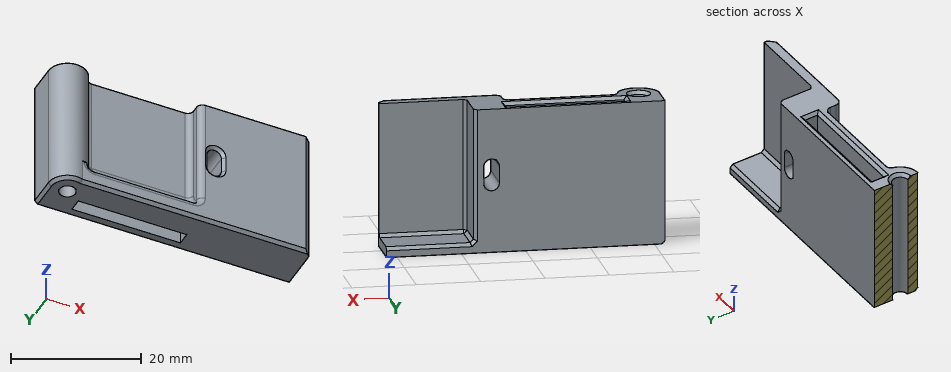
import cadquery as cq
import math

length = 43.25
thickness = 8.0
height = 22.7
break_size = 0.5
blend = 1.0

knuckle_radius = 3.25
bore_radius = 1.35
front_y = 0.17

recess_left = 5.5
recess_right = 24.18
recess_depth = 3.03
recess_floor_y = front_y + recess_depth
recess_rim_z = 2.2
recess_sweep_radius = 2.85
relief_right = 5.7
relief_z = 4.15

slot_left = 5.75
slot_right = 24.18
slot_front = 4.6
slot_back = 6.8

oblong_x = 26.95
oblong_z = 12.3
oblong_width = 2.42
oblong_length = 5.0

notch_x = 29.65
leaf_thickness = 1.6
notch_y = front_y + leaf_thickness
shelf_z = leaf_thickness


def make_plate():
    """Main block with the front corner of its free end chamfered."""
    plate = (
        cq.Workplane("XY")
        .moveTo(knuckle_radius, front_y)
        .lineTo(length - blend, front_y)
        .lineTo(length, front_y + blend)
        .lineTo(length, thickness)
        .lineTo(0, thickness)
        .lineTo(0, knuckle_radius)
        .lineTo(knuckle_radius, knuckle_radius)
        .close()
        .extrude(height)
    )
    return plate


def make_recess_cutter():
    """Scoop whose bottom is an arc tangent to the recess floor."""
    radius_sum = recess_sweep_radius + blend
    center_rise = math.sqrt(radius_sum**2 - (radius_sum - recess_depth) ** 2)
    center_y = recess_floor_y - recess_sweep_radius
    center_z = recess_rim_z + center_rise
    front_angle = math.asin((center_y - front_y) / recess_sweep_radius)

    def arc_point(angle):
        return (
            center_y - recess_sweep_radius * math.sin(angle),
            center_z - recess_sweep_radius * math.cos(angle),
        )

    middle_angle = (front_angle - math.pi / 2) / 2
    cutter = (
        cq.Workplane("YZ", origin=(recess_left, 0, 0))
        .moveTo(front_y, height)
        .lineTo(recess_floor_y, height)
        .lineTo(recess_floor_y, center_z)
        .threePointArc(arc_point(middle_angle), arc_point(front_angle))
        .close()
        .extrude(recess_right - recess_left)
    )
    side_edges = cutter.edges(
        cq.selectors.BoxSelector(
            (0, front_y + break_size, 0), (length, thickness, height - break_size)
        )
    ).edges("not |X")
    return side_edges.fillet(blend)


def cut_recess(body):
    """Cut the scoop and round its rim on the front face."""
    body = body.cut(make_recess_cutter())
    rim = body.faces("<Y").edges(
        cq.selectors.BoxSelector(
            (recess_left - break_size, 0, recess_rim_z),
            (recess_right + break_size, recess_floor_y, height - break_size),
        )
    )
    return rim.fillet(blend)


def add_knuckle(body):
    """Join the knuckle, blend it into the recess and clear the rim beside it."""
    knuckle = (
        cq.Workplane("XY").center(knuckle_radius, knuckle_radius).circle(knuckle_radius).extrude(height)
    )
    body = body.union(knuckle)
    root_x = 2 * knuckle_radius
    root = body.edges(
        cq.selectors.BoxSelector(
            (root_x - break_size, recess_floor_y - break_size, recess_rim_z),
            (root_x + break_size, recess_floor_y + break_size, height - break_size),
        )
    )
    relief = (
        cq.Workplane("XY", origin=(knuckle_radius, 0, relief_z))
        .box(relief_right - knuckle_radius, recess_floor_y, height - relief_z, centered=False)
    )
    return root.fillet(blend).cut(relief.cut(knuckle))


def chamfer_bottom(body):
    """Break the bottom edge along the left end, knuckle and front face."""
    edges = body.faces("<Z").edges(
        cq.selectors.BoxSelector((-0.45, -0.45, -0.45), (length - blend, thickness - break_size, 0.45))
    )
    return edges.chamfer(break_size)


def make_notch():
    """Rear notch with beveled inner corners."""
    notch = (
        cq.Workplane("XY", origin=(notch_x, notch_y, shelf_z))
        .box(length - notch_x, thickness - notch_y, height - shelf_z, centered=False)
    )
    inner_edges = notch.edges("(<X and <Y) or (<X and <Z) or (<Y and <Z)")
    return inner_edges.chamfer(break_size)


def cut_notch(body):
    """Cut the notch and break its two edges on the back face."""
    body = body.cut(make_notch())
    back_edges = body.faces(">Y").edges(
        cq.selectors.BoxSelector(
            (notch_x - break_size, 0, shelf_z - break_size),
            (length - break_size, length, height - break_size),
        )
    )
    return back_edges.chamfer(break_size)


def cut_openings(body):
    """Cut the pin bore, rectangular slot and oblong hole, each beveled at its mouth."""
    bore = cq.Workplane("XY").center(knuckle_radius, knuckle_radius).circle(bore_radius).extrude(height)
    bore_mouth = (
        cq.Workplane("XY", origin=(knuckle_radius, knuckle_radius, height - break_size))
        .circle(bore_radius)
        .extrude(break_size, taper=-45)
    )
    slot_width = slot_right - slot_left
    slot_depth = slot_back - slot_front
    slot_center = ((slot_left + slot_right) / 2, (slot_front + slot_back) / 2)
    slot = cq.Workplane("XY").center(*slot_center).rect(slot_width, slot_depth).extrude(height)
    slot_mouth = (
        cq.Workplane("XY", origin=(*slot_center, height))
        .rect(slot_width + 2 * break_size, slot_depth + 2 * break_size)
        .extrude(-break_size, taper=45)
    )
    oblong = (
        cq.Workplane("XZ", origin=(oblong_x, front_y, oblong_z))
        .slot2D(oblong_length, oblong_width, 90)
        .extrude(-thickness)
    )
    oblong_mouth = (
        cq.Workplane("XZ", origin=(oblong_x, front_y, oblong_z))
        .slot2D(oblong_length + 2 * break_size, oblong_width + 2 * break_size, 90)
        .extrude(-break_size, taper=45)
    )
    for opening in (bore, bore_mouth, slot, slot_mouth, oblong, oblong_mouth):
        body = body.cut(opening)
    return body


result = make_plate()
result = cut_recess(result)
result = add_knuckle(result)
result = chamfer_bottom(result)
result = cut_notch(result)
result = cut_openings(result)